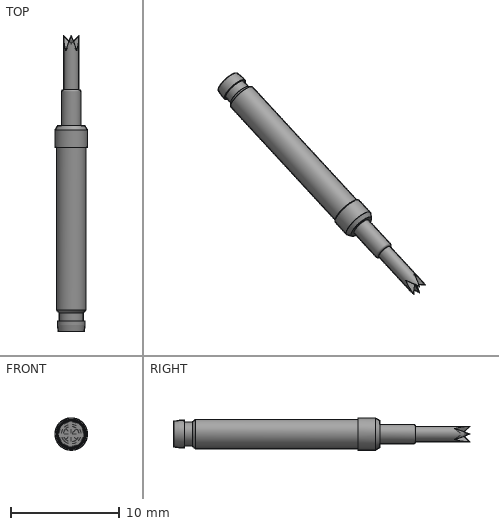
import cadquery as cq
import math

length = 27.3
plunger_end = length - 5.0
barrel_end = length - 8.3
collar_back = length - 10.32
body_back = 2.0
groove_front = 1.72
groove_back = 0.98
tail_taper_start = 0.57

plunger_radius = 0.7
barrel_radius = 0.9
collar_radius = 1.5
body_radius = 1.36
groove_radius = 1.12
tail_radius = 1.28
tail_end_radius = 1.2

collar_taper_length = 0.4
collar_end_radius = 1.25

crown_center_depth = 0.75
crown_corner_depth = 1.67


def turned_pin():
    """Half profile (radius, Y) revolved about the Y axis."""
    shoulder_round = barrel_radius - plunger_radius
    shoulder_start = plunger_end - shoulder_round
    arc_offset = shoulder_round * math.sqrt(0.5)
    return (
        cq.Workplane("XY")
        .lineTo(tail_end_radius, 0)
        .lineTo(tail_radius, tail_taper_start)
        .lineTo(tail_radius, groove_back)
        .lineTo(groove_radius, groove_back)
        .lineTo(groove_radius, groove_front)
        .lineTo(body_radius, body_back)
        .lineTo(body_radius, collar_back)
        .lineTo(collar_radius, collar_back)
        .lineTo(collar_radius, barrel_end - collar_taper_length)
        .lineTo(collar_end_radius, barrel_end)
        .lineTo(barrel_radius, barrel_end)
        .lineTo(barrel_radius, shoulder_start)
        .threePointArc(
            (plunger_radius + arc_offset, shoulder_start + arc_offset),
            (plunger_radius, plunger_end),
        )
        .lineTo(plunger_radius, length)
        .lineTo(0, length)
        .close()
        .revolve(360, (0, 0, 0), (0, 1, 0))
    )


def crown_notch():
    """V notch filling one quadrant, its valley sloping down from the axis outward."""
    side = plunger_radius
    top_center = cq.Vector(0, length, 0)
    tip_x = cq.Vector(side, length, 0)
    tip_z = cq.Vector(0, length, side)
    top_corner = cq.Vector(side, length, side)
    valley_inner = cq.Vector(0, length - crown_center_depth, 0)
    valley_outer = cq.Vector(side, length - crown_corner_depth, side)
    outlines = [
        (top_center, tip_x, top_corner, tip_z),
        (valley_inner, tip_x, valley_outer),
        (valley_inner, valley_outer, tip_z),
        (top_center, tip_x, valley_inner),
        (top_center, valley_inner, tip_z),
        (tip_x, top_corner, valley_outer),
        (tip_z, valley_outer, top_corner),
    ]
    faces = [cq.Face.makeFromWires(cq.Wire.makePolygon(points, close=True)) for points in outlines]
    return cq.Workplane(cq.Solid.makeSolid(cq.Shell.makeShell(faces)))


result = turned_pin()
notch = crown_notch()
for angle in (0, 90, 180, 270):
    result = result.cut(notch.rotate((0, 0, 0), (0, 1, 0), angle))